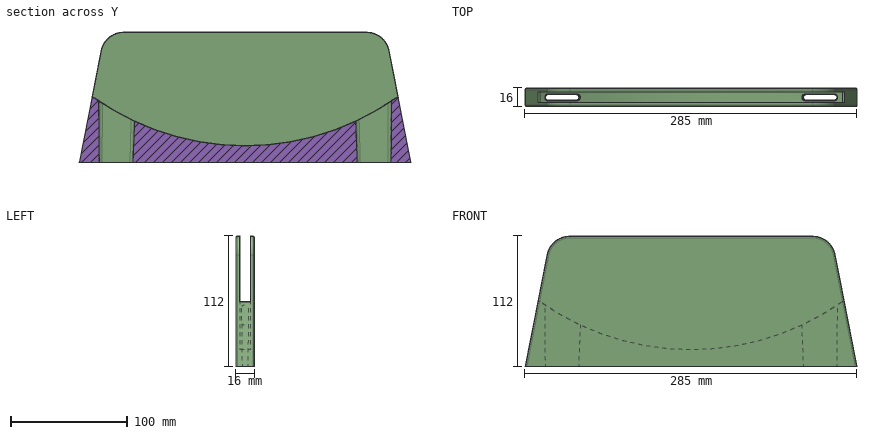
import cadquery as cq

length = 285.0
thickness = 16.0
height = 112.0
side_inset = 22.0
corner_radius = 20.0
edge_radius = 1.5

slot_width = 9.0
ledge_height = 56.0
ledge_length = 1.7
floor_sag = 41.3

hole_base_length = 28.8
hole_base_width = 4.8
hole_base_center = 111.0
hole_top_length = 31.4
hole_top_width = 6.3
hole_top_center = 110.0

side_slope = side_inset / height
ledge_end = length / 2 - ledge_height * side_slope
floor_end = ledge_end - ledge_length


def make_body():
    """Trapezoidal plate with rounded upper corners and softened face rims."""
    top_half = length / 2 - side_inset
    plate = (
        cq.Workplane("XZ")
        .polyline([(-length / 2, 0), (length / 2, 0), (top_half, height), (-top_half, height)])
        .close()
        .extrude(thickness / 2, both=True)
    )
    plate = plate.edges("|Y and >Z").fillet(corner_radius)
    rims = plate.faces("<Y or >Y").edges("not <Z")
    return rims.fillet(edge_radius)


def make_slot():
    """Open-topped cut whose concave floor is flanked by short level ledges."""
    return (
        cq.Workplane("XZ")
        .moveTo(-length / 2, ledge_height)
        .lineTo(-floor_end, ledge_height)
        .threePointArc((0, ledge_height - floor_sag), (floor_end, ledge_height))
        .lineTo(length / 2, ledge_height)
        .lineTo(length / 2, height)
        .lineTo(-length / 2, height)
        .close()
        .extrude(slot_width / 2, both=True)
    )


def make_hole(side):
    """Tapered obround passage from the base up to the ledge height."""
    return (
        cq.Workplane("XY")
        .center(side * hole_base_center, 0)
        .slot2D(hole_base_length, hole_base_width)
        .workplane(offset=ledge_height)
        .center(side * (hole_top_center - hole_base_center), 0)
        .slot2D(hole_top_length, hole_top_width)
        .loft(ruled=True)
    )


result = make_body().cut(make_slot())
for side in (-1, 1):
    result = result.cut(make_hole(side))